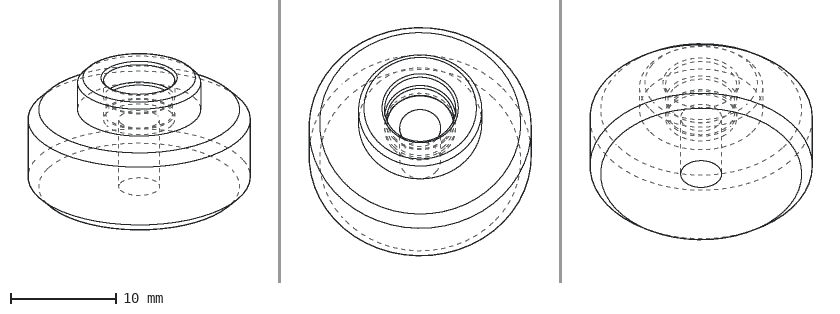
import cadquery as cq

body_diameter = 21.08
body_height = 8.1
body_chamfer = 1.01

total_height = 11.43
boss_diameter = 11.68
boss_chamfer = 0.5

mouth_diameter = 7.23
pocket_diameter = 6.75
lip_diameter = 6.32
mouth_chamfer = (mouth_diameter - pocket_diameter) / 2
lip_chamfer = (pocket_diameter - lip_diameter) / 2
lip_depth = 2.07
lip_bottom_depth = 3.77
pocket_depth = 4.36

through_diameter = 3.88


def make_body():
    """Disc with equal chamfers on its top and bottom rims."""
    return cq.Workplane("XY").circle(body_diameter / 2).extrude(body_height).edges().chamfer(body_chamfer)


def make_boss():
    """Central cylinder reaching the full height, chamfered at its top rim."""
    boss = cq.Workplane("XY").circle(boss_diameter / 2).extrude(total_height)
    return boss.faces(">Z").edges().chamfer(boss_chamfer)


def make_pocket():
    """Turned cavity: chamfered mouth, inward lip, then an undercut down to a flat floor."""
    half_profile = [
        (0, 0),
        (mouth_diameter / 2, 0),
        (pocket_diameter / 2, -mouth_chamfer),
        (pocket_diameter / 2, -lip_depth),
        (lip_diameter / 2, -lip_depth - lip_chamfer),
        (lip_diameter / 2, -lip_bottom_depth),
        (pocket_diameter / 2, -lip_bottom_depth),
        (pocket_diameter / 2, -pocket_depth),
        (0, -pocket_depth),
    ]
    pocket = cq.Workplane("XZ").polyline(half_profile).close().revolve(360, (0, 0, 0), (0, 1, 0))
    return pocket.translate((0, 0, total_height))


def make_through_hole():
    return cq.Workplane("XY").circle(through_diameter / 2).extrude(total_height)


result = make_body().union(make_boss()).cut(make_pocket()).cut(make_through_hole())